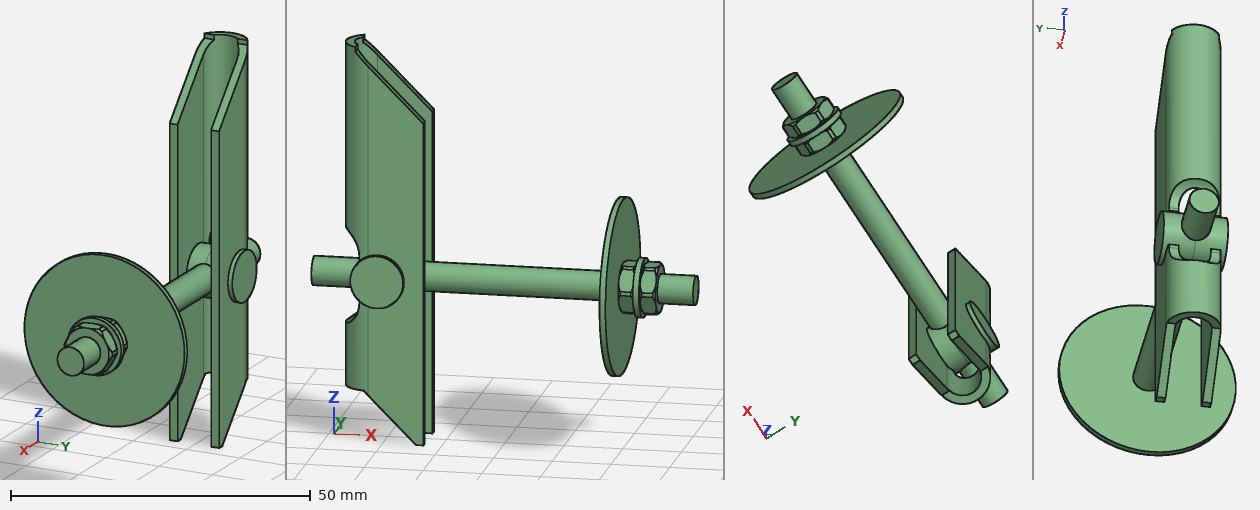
import cadquery as cq


PIN_DIAMETER = 9.0
PIN_LENGTH = 10.9
ROD_DIAMETER = 5.0
ROD_START = -11.7
ROD_LENGTH = 65.0

WASHER_START = 39.8
WASHER_DIAMETER = 30.0
WASHER_THICKNESS = 1.0
NUT_ACROSS_FLATS = 8.1
NUT_CORNER_DIAMETER = 9.0
NUT_HALF_LENGTH = 2.65
NUT_CHAMFER = 0.4
FLANGE_DIAMETER = 10.0
FLANGE_THICKNESS = 1.0

WING_LENGTH = 68.2
WING_TOP = 40.2
WING_BOTTOM = WING_TOP - WING_LENGTH
WING_RADIUS = 4.65
WING_WALL = 1.5
WING_ARC_X = -1.65
WING_BACK = WING_ARC_X - WING_RADIUS
WING_FRONT = 7.8
TOP_LIP_FRONT = -3.9
TOP_LIP_HEIGHT = 0.8
CROWN_BOTTOM = -19.1
BOTTOM_TIP_LENGTH = 1.2

OPENING_X = -3.2
OPENING_STRAIGHT = 4.1
OPENING_ARC_RADIUS = 4.6
NOTCH_X = -2.8
NOTCH_HALF_HEIGHT = 3.5


def rod_disc(start, diameter, length):
    """Cylinder about the rod axis, beginning at X = start."""
    return cq.Workplane("YZ", origin=(start, 0, 0)).circle(diameter / 2).extrude(length)


def hex_section(start):
    """Hexagon with flats facing +Z and -Z, its corners turned round and chamfered."""
    corner_to_corner = NUT_ACROSS_FLATS / 0.75**0.5
    prism = (
        cq.Workplane("YZ", origin=(start, 0, 0))
        .polygon(6, corner_to_corner)
        .extrude(NUT_HALF_LENGTH)
    )
    envelope = rod_disc(start, NUT_CORNER_DIAMETER, NUT_HALF_LENGTH).edges().chamfer(NUT_CHAMFER)
    return prism.intersect(envelope)


def cross_pin():
    return cq.Workplane("XZ").circle(PIN_DIAMETER / 2).extrude(PIN_LENGTH / 2, both=True)


def bolt_body():
    """Rod with its cross pin, washer and flanged double nut."""
    nut_start = WASHER_START + WASHER_THICKNESS
    flange_start = nut_start + NUT_HALF_LENGTH
    second_hex_start = flange_start + FLANGE_THICKNESS
    return (
        rod_disc(ROD_START, ROD_DIAMETER, ROD_LENGTH)
        .union(cross_pin())
        .union(rod_disc(WASHER_START, WASHER_DIAMETER, WASHER_THICKNESS))
        .union(hex_section(nut_start))
        .union(rod_disc(flange_start, FLANGE_DIAMETER, FLANGE_THICKNESS))
        .union(hex_section(second_hex_start))
    )


def channel():
    """U section, open toward +X, over the full wing length."""
    inner_radius = WING_RADIUS - WING_WALL
    return (
        cq.Workplane("XY", origin=(0, 0, WING_BOTTOM))
        .moveTo(WING_FRONT, WING_RADIUS)
        .lineTo(WING_ARC_X, WING_RADIUS)
        .threePointArc((WING_BACK, 0), (WING_ARC_X, -WING_RADIUS))
        .lineTo(WING_FRONT, -WING_RADIUS)
        .lineTo(WING_FRONT, -inner_radius)
        .lineTo(WING_ARC_X, -inner_radius)
        .threePointArc((WING_ARC_X - inner_radius, 0), (WING_ARC_X, inner_radius))
        .lineTo(WING_FRONT, inner_radius)
        .close()
        .extrude(WING_LENGTH)
    )


def wing_side_profile():
    """Side outline with both ends cut at 45 degrees, as a block across the wing."""
    lip_bottom = WING_TOP - TOP_LIP_HEIGHT
    front_top = lip_bottom - (WING_FRONT - TOP_LIP_FRONT)
    tip_x = WING_FRONT - BOTTOM_TIP_LENGTH
    crown_end_x = tip_x - (CROWN_BOTTOM - WING_BOTTOM)
    return (
        cq.Workplane("XZ")
        .polyline([
            (WING_BACK, WING_TOP),
            (TOP_LIP_FRONT, WING_TOP),
            (TOP_LIP_FRONT, lip_bottom),
            (WING_FRONT, front_top),
            (WING_FRONT, WING_BOTTOM),
            (tip_x, WING_BOTTOM),
            (crown_end_x, CROWN_BOTTOM),
            (WING_BACK, CROWN_BOTTOM),
        ])
        .close()
        .extrude(WING_RADIUS, both=True)
    )


def back_opening():
    """Round-cornered opening for the rod, with a shallow notch behind the pin."""
    arc_x = OPENING_X - OPENING_ARC_RADIUS
    arc_top = OPENING_STRAIGHT + OPENING_ARC_RADIUS
    arc_offset = OPENING_ARC_RADIUS * 0.5**0.5
    arc_mid_x = arc_x + arc_offset
    arc_mid_z = OPENING_STRAIGHT + arc_offset
    opening = (
        cq.Workplane("XZ")
        .moveTo(arc_x, -arc_top)
        .threePointArc((arc_mid_x, -arc_mid_z), (OPENING_X, -OPENING_STRAIGHT))
        .lineTo(OPENING_X, OPENING_STRAIGHT)
        .threePointArc((arc_mid_x, arc_mid_z), (arc_x, arc_top))
        .close()
        .extrude(WING_RADIUS, both=True)
    )
    notch = (
        cq.Workplane("XZ")
        .moveTo(arc_x, -NOTCH_HALF_HEIGHT)
        .lineTo(NOTCH_X, -NOTCH_HALF_HEIGHT)
        .lineTo(NOTCH_X, NOTCH_HALF_HEIGHT)
        .lineTo(arc_x, NOTCH_HALF_HEIGHT)
        .close()
        .extrude(WING_RADIUS, both=True)
    )
    return opening.union(notch)


def wing_body():
    """Channel wing with shaped ends, back opening and bearing holes for the pin."""
    return channel().intersect(wing_side_profile()).cut(back_opening()).cut(cross_pin())


bolt = bolt_body()
wing = wing_body()
result = cq.Compound.makeCompound([bolt.solids().val(), wing.solids().val()])